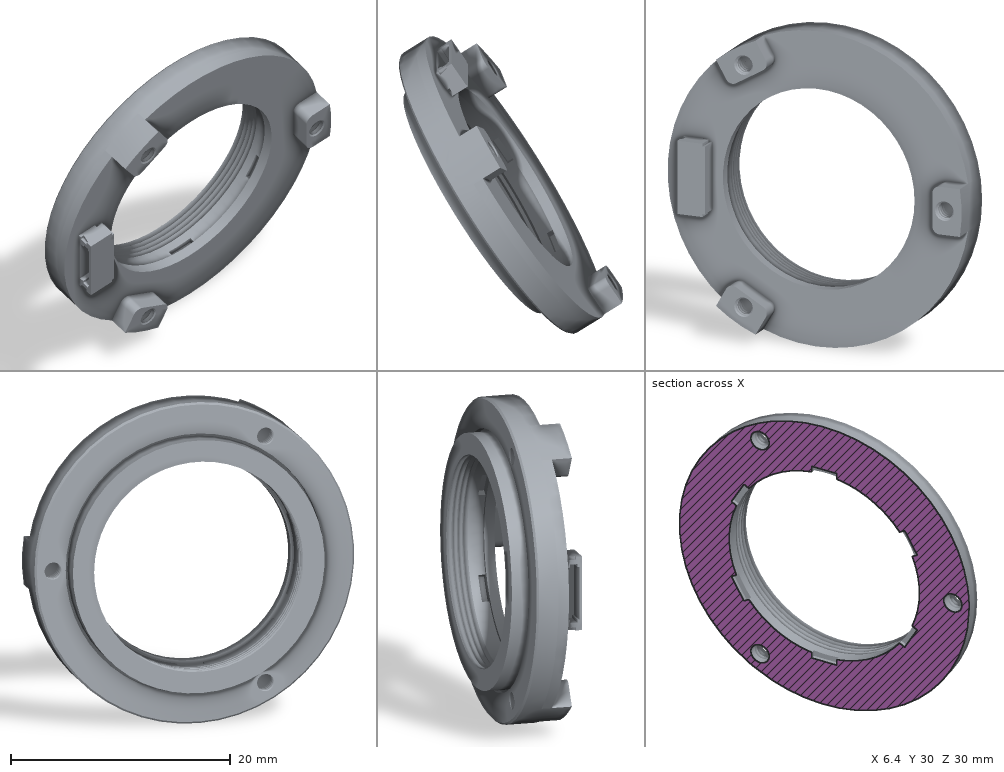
import cadquery as cq
import math

lip_front = 0.0
flange_front = 1.5
board_front = 3.5
board_back = 4.5
tab_end = 6.4

outer_diameter = 30.0
lip_diameter = 23.6
groove_diameter = 24.2
bore_diameter = 19.6
bore_thread_diameter = 20.2
board_bore_diameter = 19.0

outer_chamfer = 0.18
groove_depth = 0.5

bore_thread_pitch = 0.5
bore_thread_turns = 4
screw_count = 3
screw_circle_radius = 13.3
screw_minor_diameter = 1.6
screw_major_diameter = 2.1
screw_pitch = 0.4

tab_width = 4.53
tab_inner_radius = 12.1
tab_fillet = 0.72

pocket_count = 6
pocket_start_angle = 30.0
pocket_width = 2.55
pocket_length = 0.7
pocket_floor_radius = 10.32

connector_length = 6.95
connector_front = -13.3
connector_back = -10.55
connector_top = 6.2
underside_gap = 0.27
gap_front = -11.4
terminal_front = -11.0
rear_step_front = -10.8
rear_inset = 0.27
socket_depth = 1.8
socket_length = 4.95
socket_bottom = 4.68
socket_top = 5.97
key_length = 5.52
key_bottom = 5.1
key_top = 5.8

foot_width = 0.285
foot_back = -12.2
relief_start = -12.93
relief_end = -13.15
relief_top = 5.6


def axial_cylinder(diameter, start, end):
    """Cylinder about the X axis between two stations."""
    return cq.Workplane("YZ").workplane(offset=start).circle(diameter / 2).extrude(end - start)


def block(x_range, y_range, z_range):
    """Box given by its lowest and highest coordinate on each axis."""
    spans = [high - low for low, high in (x_range, y_range, z_range)]
    corner = (x_range[0], y_range[0], z_range[0])
    return cq.Workplane("XY").box(*spans, centered=False).translate(corner)


def around_axis(shape, count, start_angle=0.0):
    """Copies of a shape at +Y, spread evenly around the X axis."""
    step = 360 / count
    return [shape.rotate((0, 0, 0), (1, 0, 0), start_angle + i * step) for i in range(count)]


def threaded_cutter(minor_diameter, major_diameter, pitch, turns, start):
    """Bore cutter about the X axis with one V ridge per turn."""
    minor = minor_diameter / 2
    major = major_diameter / 2
    profile = cq.Workplane("XY").moveTo(start, 0).lineTo(start, minor)
    for turn in range(turns):
        ridge_start = start + turn * pitch
        profile = profile.lineTo(ridge_start + pitch / 2, major).lineTo(ridge_start + pitch, minor)
    profile = profile.lineTo(start + turns * pitch, 0).close()
    return profile.revolve(360, (0, 0, 0), (1, 0, 0))


def make_tabs():
    """Tabs with rounded inner corners, trimmed to the outer diameter."""
    tab = block(
        (board_front, tab_end),
        (tab_inner_radius, outer_diameter / 2),
        (-tab_width / 2, tab_width / 2),
    )
    tab = tab.edges("|X and <Y").fillet(tab_fillet)
    tab = tab.intersect(axial_cylinder(outer_diameter, board_front, tab_end))
    return around_axis(tab, screw_count)


def make_mount_ring(tabs):
    """Flange with a front lip, a threaded bore, bore pockets and threaded tabs."""
    ring = axial_cylinder(outer_diameter, flange_front, board_front)
    ring = ring.faces("<X").edges().chamfer(outer_chamfer)
    lip_groove = axial_cylinder(groove_diameter, flange_front, flange_front + groove_depth)
    ring = ring.cut(lip_groove)
    ring = ring.union(axial_cylinder(lip_diameter, lip_front, board_front))
    ring = ring.cut(axial_cylinder(bore_diameter, lip_front, board_front))
    ring = ring.cut(
        threaded_cutter(
            bore_diameter, bore_thread_diameter, bore_thread_pitch, bore_thread_turns, lip_front
        )
    )

    pocket = block(
        (board_front - pocket_length, board_front),
        (board_bore_diameter / 2 - pocket_length, pocket_floor_radius),
        (-pocket_width / 2, pocket_width / 2),
    )
    for cutter in around_axis(pocket, pocket_count, pocket_start_angle):
        ring = ring.cut(cutter)

    for tab in tabs:
        ring = ring.union(tab)

    screw_turns = math.ceil((tab_end - flange_front) / screw_pitch)
    screw = threaded_cutter(
        screw_minor_diameter, screw_major_diameter, screw_pitch, screw_turns, flange_front
    ).translate((0, screw_circle_radius, 0))
    for cutter in around_axis(screw, screw_count):
        ring = ring.cut(cutter)
    return ring


def make_board(tabs):
    """Flat ring behind the mount, notched for the tabs."""
    board = axial_cylinder(outer_diameter, board_front, board_back)
    board = board.cut(axial_cylinder(board_bore_diameter, board_front, board_back))
    for tab in tabs:
        board = board.cut(tab)
    return board


def make_connector():
    """Side-entry connector housing, open toward -Y and relieved at both ends for the feet."""
    half_length = connector_length / 2
    rear_half_length = half_length - rear_inset
    gap_top = board_back + underside_gap

    housing = block(
        (board_back, connector_top), (connector_front, rear_step_front), (-half_length, half_length)
    )
    housing = housing.union(
        block(
            (board_back, connector_top),
            (rear_step_front, connector_back),
            (-rear_half_length, rear_half_length),
        )
    )
    housing = housing.cut(
        block((board_back, gap_top), (gap_front, terminal_front), (-half_length, half_length))
    )
    for low, high in ((-half_length, -rear_half_length), (rear_half_length, half_length)):
        housing = housing.cut(
            block((board_back, gap_top), (terminal_front, connector_back), (low, high))
        )

    socket_back = connector_front + socket_depth
    for length, bottom, top in (
        (socket_length, socket_bottom, socket_top),
        (key_length, key_bottom, key_top),
    ):
        housing = housing.cut(
            block((bottom, top), (connector_front, socket_back), (-length / 2, length / 2))
        )

    relief = (
        cq.Workplane("XY")
        .polyline(
            [
                (board_back, foot_back),
                (gap_top, foot_back),
                (gap_top, relief_start),
                (relief_top, relief_end),
                (relief_top, connector_front),
                (board_back, connector_front),
            ]
        )
        .close()
        .extrude(foot_width)
    )
    for base in (-half_length, half_length - foot_width):
        housing = housing.cut(relief.translate((0, 0, base)))
    return housing


def make_feet():
    """One solder foot under each end of the connector."""
    half_length = connector_length / 2
    foot_x = (board_back, board_back + underside_gap)
    foot_y = (connector_front, foot_back)
    return [
        block(foot_x, foot_y, (base, base + foot_width))
        for base in (-half_length, half_length - foot_width)
    ]


tabs = make_tabs()
mount_ring = make_mount_ring(tabs)
board = make_board(tabs)
connector = make_connector()
solder_feet = make_feet()

result = cq.Compound.makeCompound(
    [mount_ring.val(), board.val(), connector.val(), *[foot.val() for foot in solder_feet]]
)